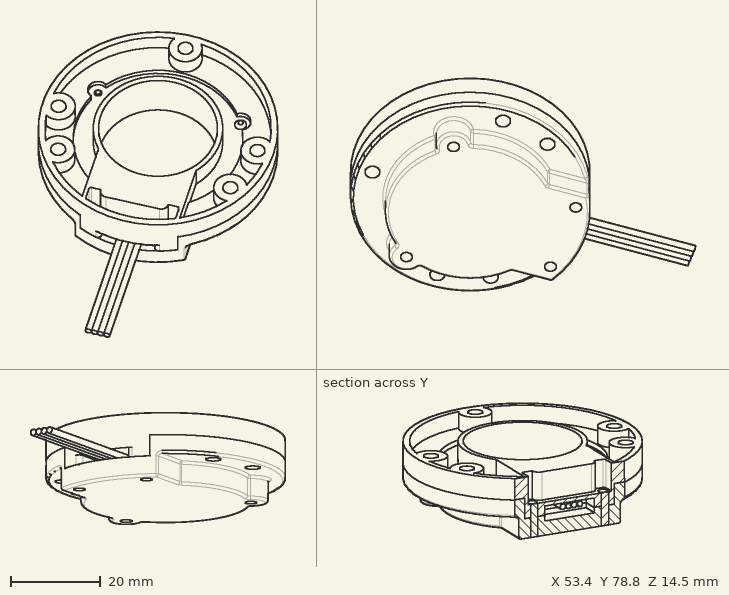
import cadquery as cq
import math

longest_side = 78.8
disc_diameter = 53.4
disc_radius = disc_diameter / 2
wall = 1.5
total_height = 14.5
parting_z = 9.45
inner_radius = disc_radius - wall
socket_floor_z = 3.5

edge_round = 0.6
flange_bottom_z = 5.3
hub_radius = 18.9
ear_radius = 3.9

housing_floor_z = 10.65
opening_radius = hub_radius
opening_ear_radius = 2.3
bore_radius = 13.25
tube_radius = 14.4
block_half_width = 11.3
block_bottom_z = 4.65
neck_half_width = block_half_width + wall
boss_radius = 3.7
mount_hole_radius = 1.65
mount_circle_diameter = 45.95
mount_circle_radius = mount_circle_diameter / 2
mount_angles = (-30, 0, 90, 180, 210)

pocket_half_width = 10.4
pocket_floor_z = 7.9
pocket_back_y = -19.7
pocket_corner_round = 0.5
tongue_half_width = 7.8
tongue_front_y = -21.35
tongue_round = 1.6

slot_half_width = 6.15
slot_top_z = 6.85
slot_end_y = -18.9
slot_mouth_round = 0.95

ear_x = 16.5
ear_y = 9.45
front_screw_spacing = 17.7
front_screw_x = front_screw_spacing / 2
front_screw_y = -21.8
screw_diameter = 2.6
screw_radius = screw_diameter / 2
screw_tip_radius = 0.55
right_ear_tip_rise = 0.75
left_ear_tip_rise = 0.275
front_tip_rise = 0.51

wire_count = 4
wire_diameter = 1.4
wire_row_x = 0.43
wire_z = 6.1
wire_end_y = disc_radius - longest_side

ear_points = [(ear_x, ear_y), (-ear_x, ear_y)]
mount_points = [
    (
        mount_circle_radius * math.cos(math.radians(angle)),
        mount_circle_radius * math.sin(math.radians(angle)),
    )
    for angle in mount_angles
]


def cylinders(points, radius, bottom, top):
    """Equal upright cylinders at the given points."""
    plane = cq.Workplane().workplane(offset=bottom)
    return plane.pushPoints(points).circle(radius).extrude(top - bottom)


def disc(radius, bottom, top):
    """An upright cylinder on the disc axis."""
    return cylinders([(0, 0)], radius, bottom, top)


def front_bar(half_width, outer_radius, bottom, top):
    """A bar from the disc axis toward -Y, ending on a cylinder round the axis."""
    bar = cq.Workplane().box(2 * half_width, outer_radius, top - bottom, centered=(True, False, False))
    return bar.translate((0, -outer_radius, bottom)).intersect(disc(outer_radius, bottom, top))


def mount_holes():
    return cylinders(mount_points, mount_hole_radius, 0, total_height)




def opening():
    """Round opening in the housing floor, with an ear round each side screw."""
    ears = cylinders(ear_points, opening_ear_radius, parting_z, housing_floor_z)
    return disc(opening_radius, parting_z, housing_floor_z).union(ears)


def pocket():
    """Pocket along the inside of the front wall, with a tongue in its back side."""
    depth = total_height - pocket_floor_z
    tongue_side_y = tongue_front_y + tongue_round
    tongue_flat_half = tongue_half_width - tongue_round
    outline = (
        cq.Workplane()
        .workplane(offset=pocket_floor_z)
        .moveTo(-pocket_half_width, -disc_radius)
        .lineTo(-pocket_half_width, pocket_back_y)
        .lineTo(-tongue_half_width, pocket_back_y)
        .lineTo(-tongue_half_width, tongue_side_y)
        .radiusArc((-tongue_flat_half, tongue_front_y), -tongue_round)
        .lineTo(tongue_flat_half, tongue_front_y)
        .radiusArc((tongue_half_width, tongue_side_y), -tongue_round)
        .lineTo(tongue_half_width, pocket_back_y)
        .lineTo(pocket_half_width, pocket_back_y)
        .lineTo(pocket_half_width, -disc_radius)
        .close()
    )
    shape = outline.extrude(depth).intersect(disc(inner_radius, pocket_floor_z, total_height))
    return shape.edges("(<X or >X) and |Z").fillet(pocket_corner_round)


def cable_slot():
    """Slot open at the bottom and front, with a rounded mouth."""
    round_x = slot_half_width + slot_mouth_round
    round_y = -math.sqrt((disc_radius - slot_mouth_round) ** 2 - round_x**2)
    tangent_scale = disc_radius / (disc_radius - slot_mouth_round)
    mouth_x = round_x * tangent_scale
    mouth_y = round_y * tangent_scale
    return (
        cq.Workplane()
        .workplane(offset=block_bottom_z)
        .moveTo(-slot_half_width, slot_end_y)
        .lineTo(-slot_half_width, round_y)
        .radiusArc((-mouth_x, mouth_y), slot_mouth_round)
        .lineTo(-mouth_x, -disc_radius)
        .lineTo(mouth_x, -disc_radius)
        .lineTo(mouth_x, mouth_y)
        .radiusArc((slot_half_width, round_y), slot_mouth_round)
        .lineTo(slot_half_width, slot_end_y)
        .close()
        .extrude(slot_top_z - block_bottom_z)
    )


def make_housing():
    body = disc(disc_radius, parting_z, total_height)
    body = body.cut(disc(inner_radius, housing_floor_z, total_height)).cut(opening())
    bosses = cylinders(mount_points, boss_radius, parting_z, total_height)
    body = body.union(bosses.intersect(disc(disc_radius, parting_z, total_height)))
    body = body.union(front_bar(block_half_width, disc_radius, block_bottom_z, total_height))
    body = body.union(disc(tube_radius, socket_floor_z, total_height))
    body = body.cut(disc(bore_radius, socket_floor_z, total_height))
    return body.cut(pocket()).cut(cable_slot()).cut(mount_holes())




def cover_blank():
    """Flange on a hub with two screw ears and a neck, every outer edge below the parting rounded."""
    hub = disc(hub_radius, 0, flange_bottom_z)
    hub = hub.union(cylinders(ear_points, ear_radius, 0, flange_bottom_z))
    hub = hub.union(front_bar(neck_half_width, disc_radius, 0, flange_bottom_z))
    blank = hub.union(disc(disc_radius, flange_bottom_z, parting_z))
    below_parting = cq.selectors.BoxSelector(
        (-disc_radius, -disc_radius, -edge_round),
        (disc_radius, disc_radius, flange_bottom_z + edge_round),
    )
    return blank.edges(below_parting).fillet(edge_round)


def wire_channel():
    """Channel under the cable slot, closed at the front by the neck wall."""
    length = inner_radius + slot_end_y
    height = block_bottom_z - socket_floor_z
    channel = cq.Workplane().box(2 * slot_half_width, length, height, centered=(True, False, False))
    channel = channel.translate((0, -inner_radius, socket_floor_z))
    return channel.intersect(disc(inner_radius, socket_floor_z, block_bottom_z))


def make_cover():
    body = cover_blank().cut(disc(tube_radius, socket_floor_z, parting_z))
    body = body.cut(front_bar(block_half_width, disc_radius, block_bottom_z, parting_z))
    return body.cut(wire_channel()).cut(mount_holes())




def make_screw(x, y, tip_z):
    """Plain shank from the bottom face up to a 45 degree conical tip with a flat end."""
    shank_top_z = tip_z - (screw_radius - screw_tip_radius)
    half_section = (
        cq.Workplane("XZ")
        .lineTo(screw_radius, 0)
        .lineTo(screw_radius, shank_top_z)
        .lineTo(screw_tip_radius, tip_z)
        .lineTo(0, tip_z)
        .close()
    )
    return half_section.revolve(360, (0, 0, 0), (0, 1, 0)).translate((x, y, 0))




def make_wire(x):
    """Straight round wire from the end of the cable slot out toward -Y."""
    start = cq.Workplane("XZ", origin=(x, slot_end_y, wire_z))
    return start.circle(wire_diameter / 2).extrude(slot_end_y - wire_end_y)



screw_places = [
    (ear_x, ear_y, parting_z + right_ear_tip_rise),
    (-ear_x, ear_y, parting_z + left_ear_tip_rise),
    (front_screw_x, front_screw_y, pocket_floor_z + front_tip_rise),
    (-front_screw_x, front_screw_y, pocket_floor_z + front_tip_rise),
]
screws = [make_screw(x, y, tip_z) for x, y, tip_z in screw_places]

first_wire_x = wire_row_x - wire_diameter * (wire_count - 1) / 2
wires = [make_wire(first_wire_x + index * wire_diameter) for index in range(wire_count)]

housing = make_housing()
cover = make_cover()
for screw in screws:
    housing = housing.cut(screw)
    cover = cover.cut(screw)

result = cq.Compound.makeCompound(
    [
        housing.val(),
        cover.val(),
        *[screw.val() for screw in screws],
        *[wire.val() for wire in wires],
    ]
)